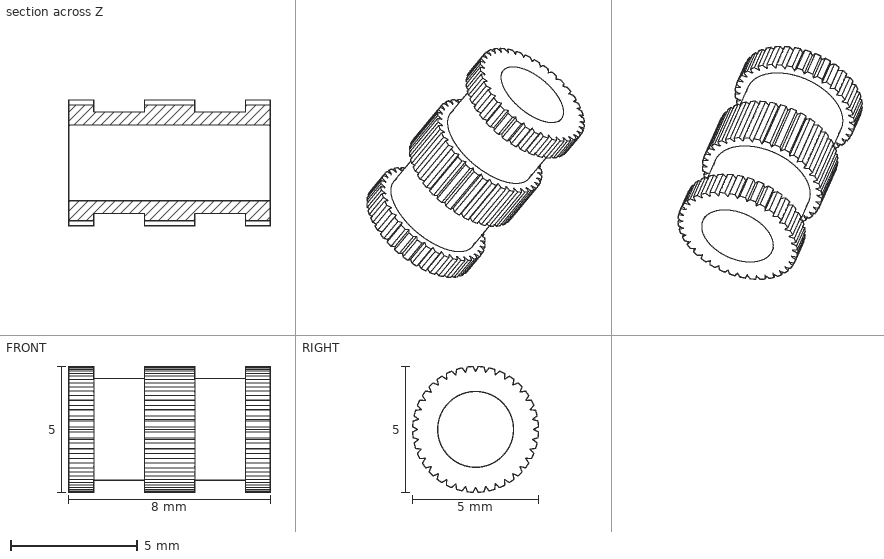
import cadquery as cq
import math

length = 8.0
bore_diameter = 3.0
body_diameter = 4.05

knurl_diameter = 5.0
end_band_width = 1.0
middle_band_width = 2 * end_band_width

groove_count = 36
groove_depth = 0.2
groove_width = 0.2

knurl_radius = knurl_diameter / 2
groove_root_radius = knurl_radius - groove_depth
pitch_angle = 2 * math.pi / groove_count
groove_half_angle = math.asin(groove_width / 2 / knurl_radius)


def polar(radius, angle):
    """Point at the given radius and angle in the plane across the sleeve."""
    return (radius * math.cos(angle), radius * math.sin(angle))


def cylinder(diameter, start, width):
    """Cylinder about the X axis, running from X = start."""
    return cq.Workplane("YZ", origin=(start, 0, 0)).circle(diameter / 2).extrude(width)


def knurled_band(start, width):
    """Toothed band with a groove root on each pitch angle and arc-topped teeth between."""
    outline = cq.Workplane("YZ", origin=(start, 0, 0)).moveTo(*polar(groove_root_radius, 0))
    for tooth in range(groove_count):
        root_angle = tooth * pitch_angle
        next_root_angle = root_angle + pitch_angle
        outline = outline.lineTo(*polar(knurl_radius, root_angle + groove_half_angle))
        outline = outline.threePointArc(
            polar(knurl_radius, root_angle + pitch_angle / 2),
            polar(knurl_radius, next_root_angle - groove_half_angle),
        )
        if tooth < groove_count - 1:
            outline = outline.lineTo(*polar(groove_root_radius, next_root_angle))
    return outline.close().extrude(width)


sleeve = cylinder(body_diameter, -length / 2, length)
sleeve = sleeve.union(knurled_band(-length / 2, end_band_width))
sleeve = sleeve.union(knurled_band(-middle_band_width / 2, middle_band_width))
sleeve = sleeve.union(knurled_band(length / 2 - end_band_width, end_band_width))

result = sleeve.cut(cylinder(bore_diameter, -length / 2, length))